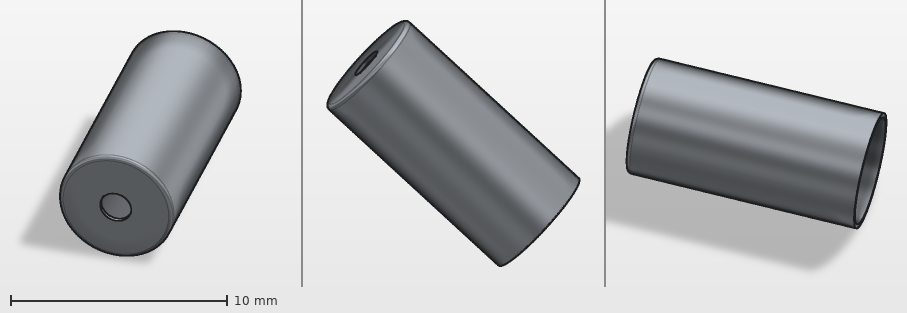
import cadquery as cq

length = 11.0
diameter = length / 2
wall = 0.2
hole_diameter = 1.5
edge_radius = wall
cavity_diameter = diameter - 2 * wall
cavity_depth = length - wall

body = cq.Workplane("XZ").circle(diameter / 2).extrude(-length)

body = body.faces("<Y").edges().fillet(edge_radius)

cavity = cq.Workplane("XZ", origin=(0, length, 0)).circle(cavity_diameter / 2).extrude(cavity_depth)
body = body.cut(cavity)

result = body.faces("<Y").workplane().hole(hole_diameter)